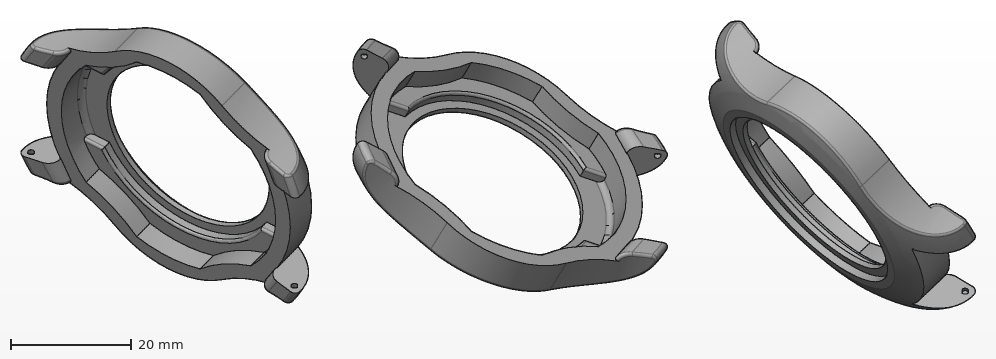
import cadquery as cq
import math


BEZEL_TOP = 8.0
LUG_REACH = 4.0

CASE_RADIUS = 24.8
CROWN_APEX = 24.67
CROWN_RADIUS = 17.1
WAIST_RADIUS = 24.0
BLEND_X = 10.9
STOCK_HALF_WIDTH = 33.0
STRAP_HALF_WIDTH = 11.35
OUTLINE_ROUND = 0.5

DOME_TOP_RADIUS = 19.8
DOME_MAX_RADIUS = 30.5
DOME_CENTRE_R = 14.5
DOME_CENTRE_Y = -1.8
DOME_CURVE_STEPS = 8

LUG_ROOT_X = 21.9
LUG_FLAT_X = 23.9
LUG_FLAT_Y = -2.53
LUG_FLAT_SLOPE = 0.19
LUG_SWEEP = (-0.52, 0.1, 1.0)
LUG_TIP_ROUND = 1.0

BAR_HOLE_DIAMETER = 1.1
BAR_HOLE_DEPTH = 1.0
BAR_HOLE_X = 26.8
BAR_HOLE_Y = -1.65

WALL = 3.0
CAVITY_RADIUS = CASE_RADIUS - WALL
LEDGE_Y = 3.8
FLOOR_Y = 5.65
RECESS_RADIUS = 18.2
SIDE_POCKET_HALF_HEIGHT = 8.7
LEDGE_ROUND = 0.5
POCKET_FLOOR_ROUND = 1.0
OPENING_RADIUS = 16.5
OPENING_LIP = 1.0
SEAT_RADIUS = 18.2

TOLERANCE = 0.01
TIP_EDGE_MIN_X = 27.2
RIM_EDGE_MIN_Z = 14.6

CROWN_CENTRE_Z = CROWN_APEX - CROWN_RADIUS
BLEND_ANGLE = math.asin(BLEND_X / CROWN_RADIUS)
BLEND_Z = CROWN_CENTRE_Z + CROWN_RADIUS * math.cos(BLEND_ANGLE)
WAIST_CENTRE_X = BLEND_X + WAIST_RADIUS * math.sin(BLEND_ANGLE)
WAIST_CENTRE_Z = BLEND_Z + WAIST_RADIUS * math.cos(BLEND_ANGLE)


def prism(sketch, y_from, y_to):
    """Extrude an XZ sketch between two heights along Y."""
    return sketch.extrude(y_from - y_to).translate((0, y_from, 0))


def xz():
    return cq.Workplane("XZ")


def cylinder(radius, y_from, y_to):
    return prism(xz().circle(radius), y_from, y_to)


def block(width, height, y_from, y_to):
    return prism(xz().rect(width, height), y_from, y_to)


def waist_z(x):
    """Height of the concave waist arc at a given x."""
    return WAIST_CENTRE_Z - math.sqrt(WAIST_RADIUS**2 - (x - WAIST_CENTRE_X)**2)


def outline():
    """Convex ends joined to concave waists that run on past the lug tips."""
    mid_x = (BLEND_X + STOCK_HALF_WIDTH) / 2
    mid_z = waist_z(mid_x)
    end_z = waist_z(STOCK_HALF_WIDTH)
    return (
        xz()
        .moveTo(-BLEND_X, BLEND_Z)
        .threePointArc((0, CROWN_APEX), (BLEND_X, BLEND_Z))
        .threePointArc((mid_x, mid_z), (STOCK_HALF_WIDTH, end_z))
        .lineTo(STOCK_HALF_WIDTH, -end_z)
        .threePointArc((mid_x, -mid_z), (BLEND_X, -BLEND_Z))
        .threePointArc((0, -CROWN_APEX), (-BLEND_X, -BLEND_Z))
        .threePointArc((-mid_x, -mid_z), (-STOCK_HALF_WIDTH, -end_z))
        .lineTo(-STOCK_HALF_WIDTH, end_z)
        .threePointArc((-mid_x, mid_z), (-BLEND_X, BLEND_Z))
        .close()
    )


def dome():
    """Body of revolution under the domed outer surface."""
    semi_r = DOME_MAX_RADIUS - DOME_CENTRE_R
    top_angle = math.acos((DOME_TOP_RADIUS - DOME_CENTRE_R) / semi_r)
    semi_y = (BEZEL_TOP - DOME_CENTRE_Y) / math.sin(top_angle)
    low_angle = math.asin((-LUG_REACH - DOME_CENTRE_Y) / semi_y)

    def curve_point(step):
        angle = low_angle + (top_angle - low_angle) * step / DOME_CURVE_STEPS
        r = DOME_CENTRE_R + semi_r * math.cos(angle)
        return r, DOME_CENTRE_Y + semi_y * math.sin(angle)

    curve = [curve_point(step) for step in range(DOME_CURVE_STEPS + 1)]
    return (
        cq.Workplane("XY")
        .moveTo(0, -LUG_REACH)
        .lineTo(*curve[0])
        .spline(curve[1:], includeCurrent=True)
        .lineTo(0, BEZEL_TOP)
        .close()
        .revolve(360, (0, 0, 0), (0, 1, 0))
    )


def four_way(shape):
    """The shape together with its mirror images across the YZ and XY planes."""
    pair = shape.union(shape.mirror("YZ"))
    return pair.union(pair.mirror("XY"))


def lug_underside_cut():
    """Material to remove below one lug, up to the case back."""
    deep_y = -3 * LUG_REACH
    end_x = 2 * STOCK_HALF_WIDTH
    end_y = LUG_FLAT_Y - LUG_FLAT_SLOPE * (end_x - LUG_FLAT_X)
    profile = (
        cq.Workplane("XY", origin=(0, 0, STRAP_HALF_WIDTH))
        .moveTo(end_x, end_y)
        .lineTo(LUG_FLAT_X, LUG_FLAT_Y)
        .tangentArcPoint((LUG_ROOT_X, 0), relative=False)
        .lineTo(0, 0)
        .lineTo(0, deep_y)
        .lineTo(end_x, deep_y)
        .close()
    )
    run = CROWN_APEX
    swept = cq.Solid.extrudeLinear(profile.wires().val(), [], cq.Vector(*LUG_SWEEP) * run)
    below_back = block(2 * end_x, 4 * end_x, 2 * deep_y, 0)
    return cq.Workplane(swept).intersect(below_back)


def strap_gap():
    """Clearance between the lugs, outside the round flanks and below the case back."""
    width = 2 * STOCK_HALF_WIDTH
    height = 2 * STRAP_HALF_WIDTH
    gap = block(width, height, -LUG_REACH, BEZEL_TOP)
    return gap.cut(cylinder(CASE_RADIUS, 0, BEZEL_TOP))


def outer_body():
    blank = prism(outline(), -LUG_REACH, BEZEL_TOP).intersect(dome())
    return blank.cut(strap_gap()).cut(four_way(lug_underside_cut()))


def round_lug_tips(body):
    """Round the four edges where the dome runs into a lug underside."""
    def is_tip(edge):
        mid = edge.positionAt(0.5)
        direction = edge.tangentAt(0.5)
        at_tip = abs(mid.x) > TIP_EDGE_MIN_X and mid.y < LUG_FLAT_Y
        return at_tip and abs(direction.z) > abs(direction.x)

    tips = [edge for edge in body.edges().vals() if is_tip(edge)]
    return body.newObject(tips).fillet(LUG_TIP_ROUND)


def round_outline(body):
    """Round the rim of the outline wall, on along the lug undersides to the case back."""
    def is_rim(edge):
        mid = edge.positionAt(0.5)
        on_back = abs(mid.y) < TOLERANCE
        along_y = edge.geomType() == "LINE"
        return abs(mid.z) > RIM_EDGE_MIN_Z and not on_back and not along_y

    rim = [edge for edge in body.edges().vals() if is_rim(edge)]
    return body.newObject(rim).fillet(OUTLINE_ROUND)


def cavity():
    """Round cavity from the case back, narrowed to keep the wall behind the waists."""
    waist = cylinder(WAIST_RADIUS + WALL, 0, LEDGE_Y)
    waist = waist.translate((WAIST_CENTRE_X, 0, WAIST_CENTRE_Z))
    return cylinder(CAVITY_RADIUS, 0, LEDGE_Y).cut(four_way(waist))


def floor_recess():
    """Round recess with two side pockets; the pocket floors curve up to the cavity wall."""
    bowl = cylinder(CAVITY_RADIUS, 0, FLOOR_Y).faces(">Y").edges().fillet(POCKET_FLOOR_ROUND)
    pockets = bowl.intersect(block(2 * CAVITY_RADIUS, 2 * SIDE_POCKET_HALF_HEIGHT, 0, FLOOR_Y))
    return pockets.union(cylinder(RECESS_RADIUS, 0, FLOOR_Y))


def round_ledges(body):
    """Round the inner edges of the two ledges left between cavity and recess."""
    def is_ledge_edge(edge):
        mid = edge.positionAt(0.5)
        radius = math.hypot(mid.x, mid.z)
        on_ledge = abs(mid.y - LEDGE_Y) < TOLERANCE
        on_recess = abs(radius - RECESS_RADIUS) < TOLERANCE
        straight_end = edge.geomType() == "LINE" and abs(edge.tangentAt(0.5).x) > 1 - TOLERANCE
        return on_ledge and (on_recess or straight_end)

    edges = [edge for edge in body.edges().vals() if is_ledge_edge(edge)]
    return body.newObject(edges).fillet(LEDGE_ROUND)


def opening():
    """Through opening with a thin lip and a crystal seat on the bezel side."""
    seat = cylinder(SEAT_RADIUS, FLOOR_Y + OPENING_LIP, BEZEL_TOP)
    return cylinder(OPENING_RADIUS, 0, BEZEL_TOP).union(seat)


def spring_bar_hole():
    hole = cq.Workplane("XY", origin=(BAR_HOLE_X, BAR_HOLE_Y, STRAP_HALF_WIDTH))
    return hole.circle(BAR_HOLE_DIAMETER / 2).extrude(BAR_HOLE_DEPTH)


body = round_outline(round_lug_tips(outer_body()))
body = round_ledges(body.cut(cavity()).cut(floor_recess()))
result = body.cut(opening()).cut(four_way(spring_bar_hole()))